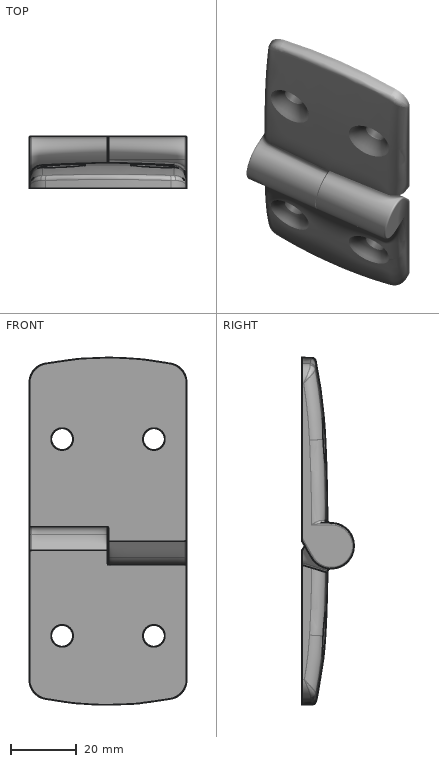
import cadquery as cq
import math


WIDTH = 48.0
TOTAL_HEIGHT = 106.0
UPPER_LENGTH = 57.5
LOWER_LENGTH = TOTAL_HEIGHT - UPPER_LENGTH
END_RADIUS = 100.0
CORNER_RADIUS = 6.0
TIP_ROUND = 1.6

THICKNESS = 7.8
HOLE_ROW_THICKNESS = 7.2
TIP_THICKNESS = 3.6
TIP_OVERRUN = 2.1
CROWN_RISE = 1.1
SHOULDER_RADIUS = 4.2
SECTION_DEPTH = 10.6

TOTAL_DEPTH = 15.9
KNUCKLE_RADIUS = 7.0
AXIS_Y = TOTAL_DEPTH - KNUCKLE_RADIUS
KNUCKLE_SLOPE = math.radians(60)
KNUCKLE_ROUND = 0.5
KNUCKLE_GAP = 0.2
ROOT_FILLET = 0.8

RELIEF_HEIGHT = 5.8
RELIEF_SLOPE = math.radians(17)
RELIEF_FILLET = 0.6

HOLE_DIAMETER = 6.6
HOLE_SPACING = 28.0
UPPER_HOLE_HEIGHT = 32.5
LOWER_HOLE_HEIGHT = 27.5
COUNTERSINK_START = 3.3
COUNTERSINK_ANGLE = math.radians(90)


def leaf_outline(length):
    """Block with the front outline of a leaf, from inside the knuckle up to the rounded tip."""
    half = WIDTH / 2
    base = RELIEF_HEIGHT - 2 * RELIEF_FILLET
    side_top = length - (END_RADIUS - math.sqrt(END_RADIUS**2 - half**2))
    return (
        cq.Workplane("XZ")
        .moveTo(-half, base)
        .lineTo(-half, side_top)
        .threePointArc((0, length), (half, side_top))
        .lineTo(half, base)
        .close()
        .extrude(-SECTION_DEPTH)
        .edges("|Y")
        .edges(">Z")
        .fillet(CORNER_RADIUS)
    )


def crowned_bar(length, hole_height):
    """Crowned, round-shouldered bar whose back curves down towards the tip."""
    half = WIDTH / 2
    back_curve = (
        cq.Workplane("YZ")
        .moveTo(THICKNESS, 0)
        .lineTo(THICKNESS, RELIEF_HEIGHT)
        .tangentArcPoint((HOLE_ROW_THICKNESS, hole_height), relative=False)
        .tangentArcPoint((TIP_THICKNESS, length + TIP_OVERRUN), relative=False)
    )
    side_y = THICKNESS - CROWN_RISE
    section = (
        cq.Sketch()
        .segment((half, side_y), (half, THICKNESS - SECTION_DEPTH))
        .segment((-half, THICKNESS - SECTION_DEPTH))
        .segment((-half, side_y))
        .arc((-half, side_y), (0, THICKNESS), (half, side_y))
        .assemble()
        .vertices(">Y")
        .fillet(SHOULDER_RADIUS)
    )
    return cq.Workplane("XY").placeSketch(section).sweep(back_curve)


def relief_cutter():
    """Sloped clearance beside the knuckle, rounded where it meets the knuckle's inner end."""
    depth = 2 * SECTION_DEPTH
    rise = depth * math.tan(RELIEF_SLOPE)
    return (
        cq.Workplane("YZ")
        .workplane(offset=-WIDTH)
        .moveTo(0, RELIEF_HEIGHT)
        .lineTo(depth, RELIEF_HEIGHT + rise)
        .lineTo(depth, -depth)
        .lineTo(0, -depth)
        .close()
        .extrude(WIDTH + KNUCKLE_GAP / 2)
        .faces(">X")
        .edges(">Z")
        .fillet(RELIEF_FILLET)
    )


def knuckle():
    """Barrel on the +X half, with one flat sloping to the mounting face and one square to it."""
    tangent_y = AXIS_Y - KNUCKLE_RADIUS * math.sin(KNUCKLE_SLOPE)
    tangent_z = -KNUCKLE_RADIUS * math.cos(KNUCKLE_SLOPE)
    foot_z = tangent_z + tangent_y * math.tan(KNUCKLE_SLOPE)
    inner_end = KNUCKLE_GAP / 2
    return (
        cq.Workplane("YZ")
        .workplane(offset=inner_end)
        .moveTo(0, foot_z)
        .lineTo(tangent_y, tangent_z)
        .threePointArc((TOTAL_DEPTH, 0), (AXIS_Y, KNUCKLE_RADIUS))
        .lineTo(0, KNUCKLE_RADIUS)
        .close()
        .extrude(WIDTH / 2 - inner_end)
        .faces(">X")
        .edges("not <Y")
        .fillet(KNUCKLE_ROUND)
    )


def screw_holes(hole_height):
    """Two countersunk holes side by side, countersunk from the back."""
    radius = HOLE_DIAMETER / 2
    cone_depth = SECTION_DEPTH - COUNTERSINK_START
    cone_radius = radius + cone_depth * math.tan(COUNTERSINK_ANGLE / 2)
    tool = (
        cq.Workplane("XY")
        .lineTo(radius, 0)
        .lineTo(radius, COUNTERSINK_START)
        .lineTo(cone_radius, SECTION_DEPTH)
        .lineTo(0, SECTION_DEPTH)
        .close()
        .revolve(360, (0, 0), (0, 1))
    )
    left = tool.translate((-HOLE_SPACING / 2, 0, hole_height))
    right = tool.translate((HOLE_SPACING / 2, 0, hole_height))
    return left.union(right)


def leaf(length, hole_height):
    """Hinge leaf rising from the axis along +Z, with its knuckle on the +X half."""
    plate = leaf_outline(length).intersect(crowned_bar(length, hole_height))
    tip_edge = cq.selectors.NearestToPointSelector((0, TIP_THICKNESS, length))
    plate = plate.edges(tip_edge).fillet(TIP_ROUND)
    plate = plate.cut(relief_cutter())
    body = plate.union(knuckle())

    root_zone = cq.selectors.BoxSelector(
        (0, 0, KNUCKLE_RADIUS - 1.5 * KNUCKLE_ROUND),
        (WIDTH, (THICKNESS + AXIS_Y) / 2, KNUCKLE_RADIUS + KNUCKLE_ROUND / 2),
        boundingbox=True,
    )
    body = body.edges(root_zone).fillet(ROOT_FILLET)
    return body.cut(screw_holes(hole_height))


upper_leaf = leaf(UPPER_LENGTH, UPPER_HOLE_HEIGHT)
lower_leaf = leaf(LOWER_LENGTH, LOWER_HOLE_HEIGHT).rotate((0, 0, 0), (0, 1, 0), 180)

result = cq.Compound.makeCompound([upper_leaf.val(), lower_leaf.val()])